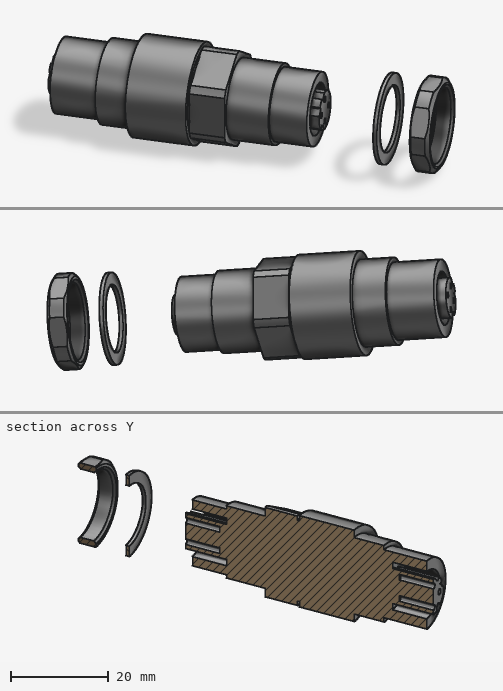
import cadquery as cq
import math


INSERT_OVERHANG = 1.6
LEFT_STAGES = [
    (11.5, 16.0),
    (18.5, 18.0),
    (31.4, 21.5),
    (31.8, 19.0),
]
HEX_END = 39.35
HEX_ACROSS_FLATS = 19.0
HEX_CORNER_DIA = 21.0
HEX_TURN = 0
RIGHT_STAGES = [
    (48.4, 17.0),
    (56.35, 15.5),
]
CONNECTOR_LENGTH = RIGHT_STAGES[-1][0] + INSERT_OVERHANG

SOCKET_DIA = 11.0
SOCKET_DEPTH = 8.0
INSERT_DIA = 8.3
KEY_ANGLE = 135
KEY_WIDTH = 1.8
KEY_FLAT_DISTANCE = 3.2
NOTCH_ANGLE = 238
NOTCH_CENTER_RADIUS = 3.9
NOTCH_RADIUS = 0.79
CONTACT_COUNT = 4
CONTACT_DIA = 1.2
CONTACT_CIRCLE_RADIUS = 2.5
CONTACT_DEPTH = SOCKET_DEPTH

WASHER_START = 71.05
WASHER_THICKNESS = 0.8
WASHER_DIA = 19.0
WASHER_BORE = 14.0

NUT_END = 83.0
NUT_WIDTH = 4.2
NUT_ACROSS_FLATS = 18.8
NUT_CORNER_DIA = 19.8
NUT_TURN = 33
NUT_BORE = 15.9
NUT_BORE_MOUTH_DIA = 17.0
NUT_LEFT_CHAMFER = (0.5, 0.75)
NUT_RIGHT_CHAMFER = (0.75, 1.0)


def cylinder(start, length, diameter):
    return cq.Workplane("YZ", origin=(start, 0, 0)).circle(diameter / 2).extrude(length)


def hexagon(start, length, across_flats, corner_dia, turn):
    """Hexagonal prism with its corners rounded off by a coaxial cylinder."""
    prism = (
        cq.Workplane("YZ", origin=(start, 0, 0))
        .polygon(6, across_flats, circumscribed=True)
        .extrude(length)
        .rotate((0, 0, 0), (1, 0, 0), turn)
    )
    return prism.intersect(cylinder(start, length, corner_dia))


def make_insert(start, length):
    """Round insert with two flats beside a key rib and a round keyway."""
    radius = INSERT_DIA / 2
    insert = cylinder(start, length, INSERT_DIA)
    section = cq.Workplane("YZ", origin=(start, 0, 0))

    flat_depth = radius - KEY_FLAT_DISTANCE
    flat_width = radius - KEY_WIDTH / 2
    flat_middle = KEY_FLAT_DISTANCE + flat_depth / 2
    flat_offset = (KEY_WIDTH + flat_width) / 2
    flats = (
        section.pushPoints([(flat_middle, -flat_offset), (flat_middle, flat_offset)])
        .rect(flat_depth, flat_width)
        .extrude(length)
        .rotate((0, 0, 0), (1, 0, 0), KEY_ANGLE)
    )
    notch_angle = math.radians(NOTCH_ANGLE)
    notch_y = NOTCH_CENTER_RADIUS * math.cos(notch_angle)
    notch_z = NOTCH_CENTER_RADIUS * math.sin(notch_angle)
    notch = (
        section.center(notch_y, notch_z)
        .circle(NOTCH_RADIUS)
        .extrude(length)
    )
    return insert.cut(flats).cut(notch)


def contact_holes(start, length):
    return (
        cq.Workplane("YZ", origin=(start, 0, 0))
        .polarArray(CONTACT_CIRCLE_RADIUS, 0, 360, CONTACT_COUNT)
        .circle(CONTACT_DIA / 2)
        .extrude(length)
    )


def stepped_cylinder(start, stages):
    """Coaxial cylinders joined end to end, as a list of pieces."""
    pieces = []
    for end, diameter in stages:
        pieces.append(cylinder(start, end - start, diameter))
        start = end
    return pieces


def make_connector():
    hex_start = LEFT_STAGES[-1][0]
    body = hexagon(hex_start, HEX_END - hex_start, HEX_ACROSS_FLATS, HEX_CORNER_DIA, HEX_TURN)
    for piece in stepped_cylinder(INSERT_OVERHANG, LEFT_STAGES) + stepped_cylinder(HEX_END, RIGHT_STAGES):
        body = body.union(piece)

    insert_length = INSERT_OVERHANG + SOCKET_DEPTH
    right_socket_start = CONNECTOR_LENGTH - insert_length
    right_hole_start = CONNECTOR_LENGTH - CONTACT_DEPTH
    for socket_start, insert_start, hole_start in (
        (INSERT_OVERHANG, 0, 0),
        (right_socket_start, right_socket_start, right_hole_start),
    ):
        body = body.cut(cylinder(socket_start, SOCKET_DEPTH, SOCKET_DIA))
        body = body.union(make_insert(insert_start, insert_length))
        body = body.cut(contact_holes(hole_start, CONTACT_DEPTH))
    return body


def make_washer():
    disc = cylinder(WASHER_START, WASHER_THICKNESS, WASHER_DIA)
    return disc.cut(cylinder(WASHER_START, WASHER_THICKNESS, WASHER_BORE))


def make_nut():
    start = NUT_END - NUT_WIDTH
    blank = hexagon(start, NUT_WIDTH, NUT_ACROSS_FLATS, NUT_CORNER_DIA, NUT_TURN)

    outer = NUT_CORNER_DIA / 2
    bore = NUT_BORE / 2
    mouth = NUT_BORE_MOUTH_DIA / 2
    left_run, left_drop = NUT_LEFT_CHAMFER
    right_run, right_drop = NUT_RIGHT_CHAMFER
    bore_chamfer = mouth - bore
    envelope = (
        cq.Workplane("XY")
        .polyline([
            (start, mouth),
            (start, outer - left_drop),
            (start + left_run, outer),
            (NUT_END - right_run, outer),
            (NUT_END, outer - right_drop),
            (NUT_END, mouth),
            (NUT_END - bore_chamfer, bore),
            (start + bore_chamfer, bore),
        ])
        .close()
        .revolve(360, (0, 0, 0), (1, 0, 0))
    )
    return blank.intersect(envelope)


connector = make_connector()
washer = make_washer()
nut = make_nut()

result = cq.Compound.makeCompound([connector.val(), washer.val(), nut.val()])